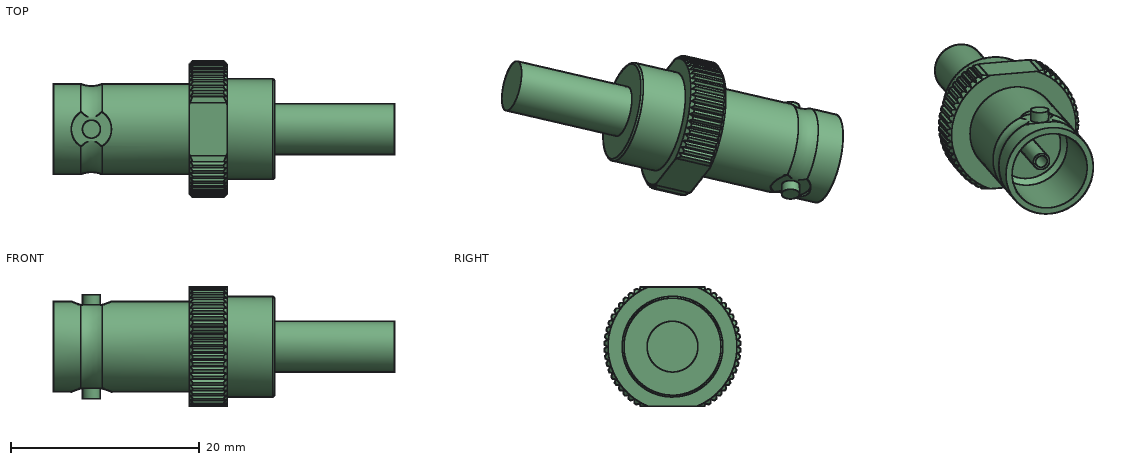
import cadquery as cq


total_length = 36.22
shell_diameter = 9.63
flange_start = 14.4
flange_end = 18.46
collar_diameter = 10.71
collar_end = 23.5
collar_chamfer = 0.2
ferrule_diameter = 5.4

socket_diameter = 8.26
socket_floor_diameter = 7.13
socket_floor = 8.6
socket_cone_length = (socket_diameter - socket_floor_diameter) / 2

lug_x = 4.03
lug_diameter = 1.91
lug_span = 11.07
seat_diameter = 4.27
seat_span = 8.86
groove_width = 2.28
groove_depth = 0.22

flange_diameter = 14.5
flange_across_flats = 12.7
flange_chamfer = 0.4
knurl_count = 60
knurl_depth = 0.3
knurl_mouth = 0.45

contact_diameter = 1.78
contact_bore_diameter = 1.27
contact_tip = 3.3
contact_bore_depth = 3.0
contact_seat_depth = 2.0
contact_end = socket_floor + contact_seat_depth


def rod(diameter, start, end):
    """Solid round bar along X."""
    return cq.Workplane("YZ", origin=(start, 0, 0)).circle(diameter / 2).extrude(end - start)


def make_knurled_flange():
    flange = rod(flange_diameter, flange_start, flange_end).edges().chamfer(flange_chamfer)

    rim_radius = flange_diameter / 2
    valley_radius = rim_radius - knurl_depth
    clearance = 0.2
    cutter_half_width = knurl_mouth / 2 * (knurl_depth + clearance) / knurl_depth
    cutter = (
        cq.Workplane("YZ", origin=(flange_start, 0, 0))
        .moveTo(valley_radius, 0)
        .lineTo(rim_radius + clearance, cutter_half_width)
        .lineTo(rim_radius + clearance, -cutter_half_width)
        .close()
        .extrude(flange_end - flange_start)
        .val()
    )
    axis_start = cq.Vector(0, 0, 0)
    axis_end = cq.Vector(1, 0, 0)
    cutters = [cutter.rotate(axis_start, axis_end, i * 360 / knurl_count) for i in range(knurl_count)]
    flange = flange.cut(cq.Workplane(cq.Compound.makeCompound(cutters)))

    flange_length = flange_end - flange_start
    flats = cq.Workplane("XY").box(flange_length, flange_diameter, flange_across_flats)
    return flange.intersect(flats.translate((flange_start + flange_length / 2, 0, 0)))


def make_bayonet_groove():
    """Ring with a shallow arc section to remove from the shell."""
    shell_radius = shell_diameter / 2
    clearance = 0.5
    left = lug_x - groove_width / 2
    right = lug_x + groove_width / 2
    return (
        cq.Workplane("XY")
        .moveTo(left, shell_radius)
        .threePointArc((lug_x, shell_radius - groove_depth), (right, shell_radius))
        .lineTo(right, shell_radius + clearance)
        .lineTo(left, shell_radius + clearance)
        .close()
        .revolve(360, (0, 0, 0), (1, 0, 0))
    )


def make_lug_seats():
    """Round cutters that leave a flat around each lug, above and below."""
    seat_height = seat_span / 2
    cutter = cq.Workplane("XY", origin=(lug_x, 0, seat_height)).circle(seat_diameter / 2).extrude(shell_diameter)
    return cutter.union(cutter.mirror("XY"))


def make_socket():
    """Round socket whose wall narrows in a cone to the flat floor."""
    return (
        cq.Workplane("XY")
        .lineTo(0, socket_diameter / 2)
        .lineTo(socket_floor - socket_cone_length, socket_diameter / 2)
        .lineTo(socket_floor, socket_floor_diameter / 2)
        .lineTo(socket_floor, 0)
        .close()
        .revolve(360, (0, 0, 0), (1, 0, 0))
    )


def make_housing():
    shell = rod(shell_diameter, 0, flange_end)
    shell = shell.cut(make_bayonet_groove()).cut(make_lug_seats())
    lugs = cq.Workplane("XY", origin=(lug_x, 0, -lug_span / 2)).circle(lug_diameter / 2).extrude(lug_span)
    collar = rod(collar_diameter, flange_start, collar_end).faces(">X").chamfer(collar_chamfer)
    ferrule = rod(ferrule_diameter, flange_end, total_length)
    housing = shell.union(lugs).union(make_knurled_flange()).union(collar).union(ferrule)
    contact_seat = rod(contact_diameter, socket_floor, contact_end)
    return housing.cut(make_socket()).cut(contact_seat)


def make_contact():
    contact = rod(contact_diameter, contact_tip, contact_end)
    return contact.cut(rod(contact_bore_diameter, contact_tip, contact_tip + contact_bore_depth))


housing = make_housing()
contact = make_contact()

result = cq.Compound.makeCompound([housing.val(), contact.val()])